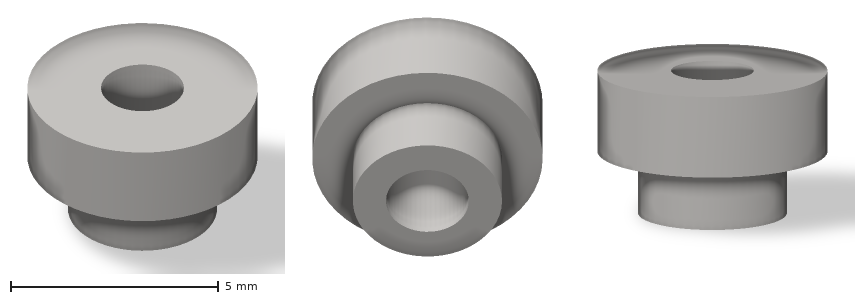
import cadquery as cq

head_diameter = 5.56
spigot_diameter = 3.6
bore_diameter = 2.0
total_height = 3.53
head_height = 2.0
spigot_height = total_height - head_height


def make_cylinder(diameter, height, base_z):
    """Upright cylinder on the Z axis, standing on the height base_z."""
    return cq.Workplane("XY").workplane(offset=base_z).circle(diameter / 2).extrude(height)


spigot = make_cylinder(spigot_diameter, spigot_height, 0)
head = make_cylinder(head_diameter, head_height, spigot_height)
bore = make_cylinder(bore_diameter, total_height, 0)

result = spigot.union(head).cut(bore)